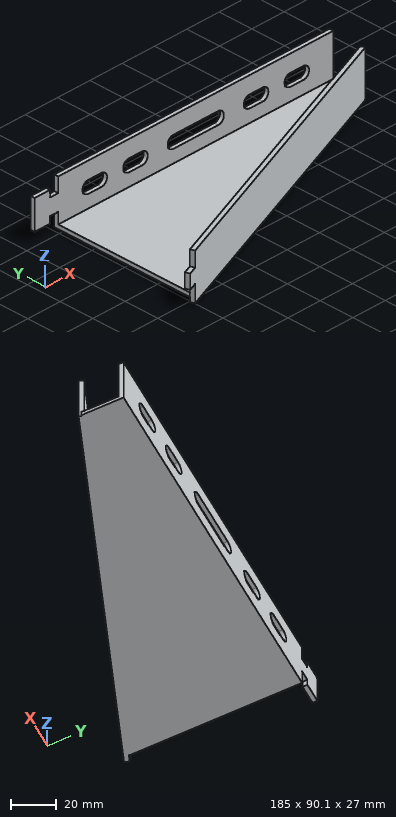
import cadquery as cq
import math

length = 185.0
width = 90.1
height = 27.0
thickness = 2.5
base_start = 14.6

hook_head_length = 9.6
hook_head_height = 17.4
hook_neck_height = 9.6
hook_center_z = 13.7

tongue_tip_x = 7.5
tongue_length = 5.4
tongue_height = 8.3
tongue_bottom_z = 10.0
tip_end_depth = 22.0

slot_height = 7.0
short_slot_length = 15.2
long_slot_length = 34.8
slot_center_z = 13.5
inner_slot_offset = 37.4
outer_slot_offset = 62.5

slant_run = length - tongue_tip_x
slant_rise = width - tip_end_depth
slant_angle = math.degrees(math.atan2(slant_rise, slant_run))
slant_length = math.hypot(slant_run, slant_rise)


def corner_box(x_size, y_size, z_size, x=0, y=0, z=0):
    """Box placed by its lowest X, Y and Z corner."""
    return cq.Workplane("XY").box(x_size, y_size, z_size, centered=False).translate((x, y, z))


def straight_wall():
    wall = corner_box(length - base_start, thickness, height, base_start, -thickness)
    neck_bottom = hook_center_z - hook_neck_height / 2
    neck = corner_box(base_start, thickness, hook_neck_height, 0, -thickness, neck_bottom)
    head_bottom = hook_center_z - hook_head_height / 2
    head = corner_box(hook_head_length, thickness, hook_head_height, 0, -thickness, head_bottom)
    wall = wall.union(neck).union(head)

    middle_x = (base_start + length) / 2
    slots = [(0, long_slot_length)]
    for offset in (inner_slot_offset, outer_slot_offset):
        slots += [(-offset, short_slot_length), (offset, short_slot_length)]
    for offset, slot_length in slots:
        cutter = (
            cq.Workplane("XZ")
            .center(middle_x + offset, slot_center_z)
            .slot2D(slot_length, slot_height)
            .extrude(thickness)
        )
        wall = wall.cut(cutter)
    return wall


def slanted_wall():
    wall = corner_box(slant_length - tongue_length, thickness, height, tongue_length)
    tongue = corner_box(tongue_length, thickness, tongue_height, 0, 0, tongue_bottom_z)
    wall = wall.union(tongue)
    return wall.rotate((0, 0, 0), (0, 0, 1), slant_angle).translate((tongue_tip_x, -width, 0))


def base_plate():
    """Floor between the walls, reaching the middle of the slanted wall's thickness."""
    slope = slant_rise / slant_run
    half_thickness_in_y = thickness / 2 / math.cos(math.radians(slant_angle))
    far_y = -tip_end_depth + half_thickness_in_y
    near_y = far_y - slope * (length - base_start)
    outline = [(base_start, 0), (length, 0), (length, far_y), (base_start, near_y)]
    return cq.Workplane("XY").polyline(outline).close().extrude(thickness)


result = base_plate().union(straight_wall()).union(slanted_wall())